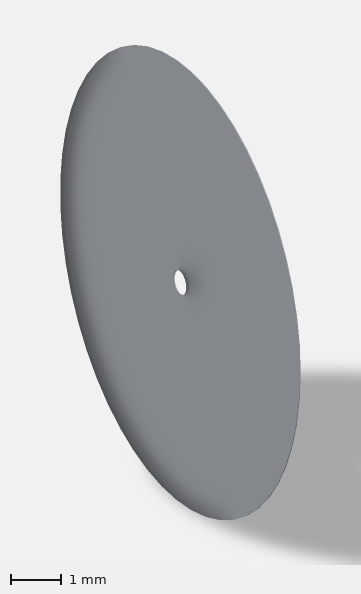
import cadquery as cq

disc_diameter = 9.53
disc_thickness = 0.02
hole_diameter = 0.5

result = (
    cq.Workplane("XZ")
    .circle(disc_diameter / 2)
    .circle(hole_diameter / 2)
    .extrude(disc_thickness / 2, both=True)
)